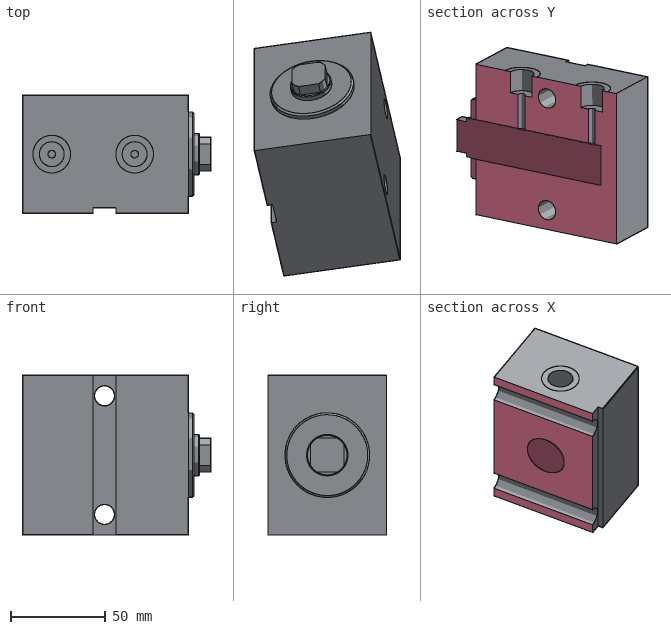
import cadquery as cq

BLOCK_LENGTH = 88.0
BLOCK_WIDTH = 63.0
BLOCK_HEIGHT = 85.0
EDGE_BREAK = 0.3

GROOVE_WIDTH = 12.0
GROOVE_DEPTH = 3.0
GROOVE_X = 43.5
MOUNT_HOLE_DIAMETER = 10.5
MOUNT_HOLE_EDGE = 11.0

PORT_X = (15.5, 59.5)
PORT_DIAMETER = 13.2
PORT_DEPTH = 12.0
SPOT_FACE_DIAMETER = 20.0
SPOT_FACE_DEPTH = 0.1
FEED_DIAMETER = 4.0

GLAND_DIAMETER = 45.0
GLAND_LENGTH = 3.1
GLAND_CHAMFER = 1.0

OVERALL_LENGTH = 100.0
ROD_DIAMETER = 22.0
ROD_CHAMFER = 0.5
ROD_REAR_X = 10.0
SQUARE_LENGTH = 6.0
SQUARE_WIDTH = 18.0

TOP_Z = BLOCK_HEIGHT / 2
SHOULDER_X = OVERALL_LENGTH - SQUARE_LENGTH
MOUNT_HOLE_Z = TOP_Z - MOUNT_HOLE_EDGE


def bar_along_x(diameter, start_x, end_x):
    """Round bar on the rod axis between two X positions."""
    return cq.Workplane("YZ", origin=(start_x, 0, 0)).circle(diameter / 2).extrude(end_x - start_x)


def drill_down(x, diameter, depth):
    """Cutter for a vertical hole of the given depth below the top face."""
    return cq.Workplane("XY", origin=(x, 0, TOP_Z)).circle(diameter / 2).extrude(-depth)


def mounting_groove():
    """Cutter for the groove that runs the full height of the -Y face."""
    return (
        cq.Workplane("XY")
        .box(GROOVE_WIDTH, GROOVE_DEPTH, BLOCK_HEIGHT, centered=(True, False, True))
        .translate((GROOVE_X, -BLOCK_WIDTH / 2, 0))
    )


def mounting_holes():
    """Cutters for the holes through the block along Y."""
    return (
        cq.Workplane("XZ", origin=(GROOVE_X, 0, 0))
        .pushPoints([(0, MOUNT_HOLE_Z), (0, -MOUNT_HOLE_Z)])
        .circle(MOUNT_HOLE_DIAMETER / 2)
        .extrude(BLOCK_WIDTH / 2, both=True)
    )


def make_housing():
    """Block with chamfered long edges, groove, mounting holes, ports and a blind rod bore."""
    block = cq.Workplane("XY").box(
        BLOCK_LENGTH, BLOCK_WIDTH, BLOCK_HEIGHT, centered=(False, True, True)
    )
    block = block.edges("|X").chamfer(EDGE_BREAK)
    block = block.cut(mounting_groove())
    block = block.cut(mounting_holes())
    for x in PORT_X:
        block = block.cut(drill_down(x, SPOT_FACE_DIAMETER, SPOT_FACE_DEPTH))
        block = block.cut(drill_down(x, PORT_DIAMETER, PORT_DEPTH))
        block = block.cut(drill_down(x, FEED_DIAMETER, TOP_Z))
    return block.cut(bar_along_x(ROD_DIAMETER, ROD_REAR_X, BLOCK_LENGTH))


def make_gland():
    """Chamfered ring around the rod, seated on the block's front face."""
    front_x = BLOCK_LENGTH + GLAND_LENGTH
    ring = bar_along_x(GLAND_DIAMETER, BLOCK_LENGTH, front_x).faces(">X").chamfer(GLAND_CHAMFER)
    return ring.cut(bar_along_x(ROD_DIAMETER, BLOCK_LENGTH, front_x))


def make_rod():
    """Round rod ending in a square whose corners are rounded to the chamfer's small diameter."""
    shank = bar_along_x(ROD_DIAMETER, ROD_REAR_X, SHOULDER_X).faces(">X").chamfer(ROD_CHAMFER)
    square = (
        cq.Workplane("YZ", origin=(SHOULDER_X, 0, 0))
        .rect(SQUARE_WIDTH, SQUARE_WIDTH)
        .extrude(SQUARE_LENGTH)
    )
    corner_diameter = ROD_DIAMETER - 2 * ROD_CHAMFER
    wrench_end = square.intersect(bar_along_x(corner_diameter, SHOULDER_X, OVERALL_LENGTH))
    return shank.union(wrench_end)


housing = make_housing()
gland = make_gland()
rod = make_rod()

result = cq.Compound.makeCompound([housing.val(), gland.val(), rod.val()])